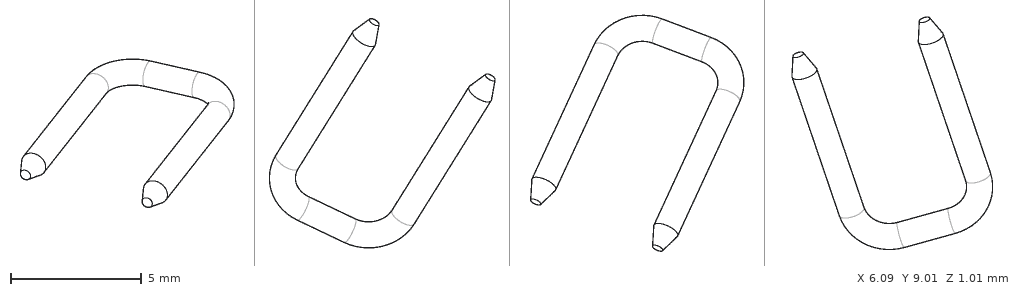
import cadquery as cq

wire_diameter = 1.01
leg_pitch = 5.08
overall_length = 9.01
taper_length = 0.81
tip_diameter = 0.43

wire_radius = wire_diameter / 2
tip_radius = tip_diameter / 2
bend_radius = 1.5 * wire_diameter
leg_x = leg_pitch / 2
crossbar_half_length = leg_x - bend_radius
taper_start_y = taper_length
crossbar_y = overall_length - wire_radius
bend_start_y = crossbar_y - bend_radius


def make_bent_wire():
    """Round wire swept along two legs, two quarter bends and a crossbar."""
    axis = (
        cq.Workplane("XY")
        .moveTo(-leg_x, taper_start_y)
        .lineTo(-leg_x, bend_start_y)
        .radiusArc((-crossbar_half_length, crossbar_y), bend_radius)
        .lineTo(crossbar_half_length, crossbar_y)
        .radiusArc((leg_x, bend_start_y), bend_radius)
        .lineTo(leg_x, taper_start_y)
    )
    section = cq.Workplane("XZ", origin=(-leg_x, taper_start_y, 0)).circle(wire_radius)
    return section.sweep(axis)


def make_tapered_tip(x):
    """Truncated cone that ends the leg at the given X, pointing toward -Y."""
    cone = cq.Solid.makeCone(
        wire_radius,
        tip_radius,
        taper_length,
        pnt=cq.Vector(x, taper_start_y, 0),
        dir=cq.Vector(0, -1, 0),
    )
    return cq.Workplane(obj=cone)


result = make_bent_wire()
for tip_x in (-leg_x, leg_x):
    result = result.union(make_tapered_tip(tip_x))